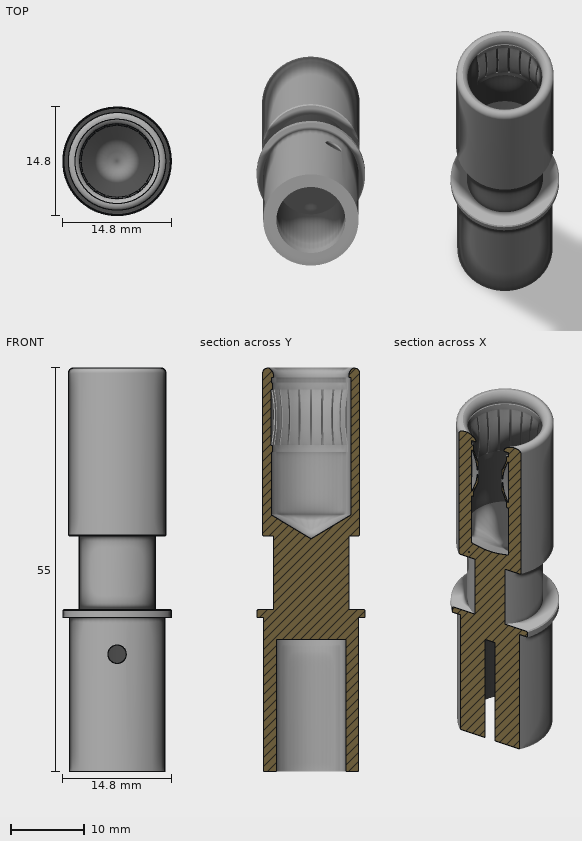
import cadquery as cq
import math

total_length = 55.0
sleeve_radius = 6.65
sleeve_length = 22.9
neck_radius = 5.2
flange_radius = 7.4
flange_top = 22.1
flange_thickness = 1.1
barrel_radius = 6.5
edge_chamfer = 0.15

mouth_radius = 5.1
mouth_flare = 0.65
mouth_flare_depth = 1.1
rim_round = 0.7
lip_depth = 1.35
bore_radius = 5.4
bore_depth = 20.0
drill_point_angle = 118.0

cage_wall = 0.15
cage_top_depth = 2.0
cage_height = 9.5
collar_height = 0.95
waist_radius = 4.87
slot_count = 20
slot_width = 0.3
cage_gap_angle = 42.0

cup_radius = 4.7
cup_depth = 18.0
inspection_diameter = 2.5
inspection_height = 16.0

sleeve_bottom = total_length - sleeve_length
bore_floor = total_length - bore_depth
cage_top = total_length - cage_top_depth
cage_bottom = cage_top - cage_height
slot_top = cage_top - collar_height
slot_bottom = cage_bottom + collar_height
point_depth = bore_radius / math.tan(math.radians(drill_point_angle / 2))


def disc(radius, bottom, top):
    """Solid cylinder on the Z axis between two heights."""
    return cq.Workplane("XY").workplane(offset=bottom).circle(radius).extrude(top - bottom)


def revolve_profile(profile):
    """Turn a closed radius-height profile around the Z axis."""
    return profile.close().revolve(360, (0, 0, 0), (0, 1, 0))


def make_outside():
    """Barrel, flange, neck and sleeve in one stack."""
    flange_bottom = flange_top - flange_thickness
    barrel = disc(barrel_radius, 0, flange_bottom)
    flange = disc(flange_radius, flange_bottom, flange_top).edges(">Z").chamfer(edge_chamfer)
    neck = disc(neck_radius, flange_top, sleeve_bottom)
    sleeve = disc(sleeve_radius, sleeve_bottom, total_length).edges("<Z").chamfer(edge_chamfer)
    sleeve = sleeve.edges(">Z").fillet(rim_round)
    return barrel.union(flange).union(neck).union(sleeve)


def make_socket_bore():
    """Rounded mouth, short lip, wider bore and conical drill point."""
    lip_bottom = total_length - lip_depth
    flare_radius = (mouth_flare_depth**2 + mouth_flare**2) / (2 * mouth_flare)
    half_angle = math.asin(mouth_flare_depth / flare_radius) / 2
    flare_end = total_length - mouth_flare_depth
    profile = (
        cq.Workplane("XZ")
        .moveTo(0, total_length)
        .lineTo(mouth_radius + mouth_flare, total_length)
        .threePointArc(
            (
                mouth_radius + flare_radius * (1 - math.cos(half_angle)),
                flare_end + flare_radius * math.sin(half_angle),
            ),
            (mouth_radius, flare_end),
        )
        .lineTo(mouth_radius, lip_bottom)
        .lineTo(bore_radius, lip_bottom)
        .lineTo(bore_radius, bore_floor)
        .lineTo(0, bore_floor - point_depth)
    )
    return revolve_profile(profile)


def cage_envelope(collar_radius, middle_radius):
    """Solid of revolution with a collar at each end and a smoothly narrowed middle."""
    profile = (
        cq.Workplane("XZ")
        .moveTo(0, cage_bottom)
        .lineTo(collar_radius, cage_bottom)
        .lineTo(collar_radius, slot_bottom)
        .threePointArc((middle_radius, (slot_bottom + slot_top) / 2), (collar_radius, slot_top))
        .lineTo(collar_radius, cage_top)
        .lineTo(0, cage_top)
    )
    return revolve_profile(profile)


def make_cage():
    """Waisted spring cage, open along +X and slit into slats."""
    outer = cage_envelope(bore_radius, waist_radius + cage_wall)
    inner = cage_envelope(bore_radius - cage_wall, waist_radius)
    cage = outer.cut(inner)

    gap_reach = 2 * bore_radius
    gap_half_width = gap_reach * math.tan(math.radians(cage_gap_angle / 2))
    gap = (
        cq.Workplane("XY")
        .workplane(offset=cage_bottom)
        .polyline([(0, 0), (gap_reach, -gap_half_width), (gap_reach, gap_half_width)])
        .close()
        .extrude(cage_height)
    )
    cage = cage.cut(gap)

    slot_length = slot_top - slot_bottom
    slot_pitch = 360 / slot_count
    for index in range(slot_count):
        angle = index * slot_pitch
        if min(angle, 360 - angle) <= cage_gap_angle / 2:
            continue
        slot = (
            cq.Workplane("XY")
            .box(bore_radius, slot_width, slot_length, centered=(False, True, False))
            .translate((bore_radius / 2, 0, slot_bottom))
            .rotate((0, 0, 0), (0, 0, 1), angle)
        )
        cage = cage.cut(slot)
    return cage


def make_inspection_hole():
    """Radial hole from the -Y side into the wire cup."""
    return (
        cq.Workplane("XZ")
        .center(0, inspection_height)
        .circle(inspection_diameter / 2)
        .extrude(flange_radius)
    )


body = make_outside().cut(make_socket_bore())
body = body.cut(disc(cup_radius, 0, cup_depth))
body = body.cut(make_inspection_hole())
result = body.union(make_cage())